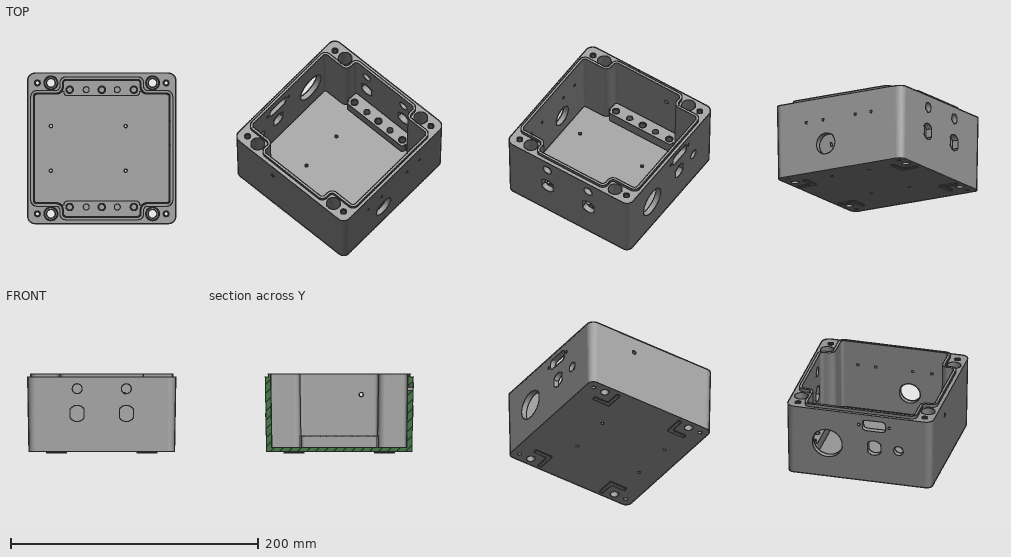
import cadquery as cq
import math

LENGTH_X = 120.0
LENGTH_Y = 122.0
HEIGHT = 64.0
FOOT_HEIGHT = 1.0
LIP_HEIGHT = 2.5
OUTER_DRAFT = 1.0
CAVITY_DRAFT = 0.9
CORNER_RADIUS = 6.2
SHOULDER_Z = HEIGHT - LIP_HEIGHT
FLOOR_Z = 4.5

LIP_HALF_X = 57.5
LIP_HALF_Y = 57.8
NOTCH_X = 33.9
NOTCH_Y = 46.8
LIP_CONVEX_RADIUS = 5.0
LIP_CONCAVE_RADIUS = 3.0
LIP_WIDTH = 2.1

FASTENER_Y = 53.0
LID_SCREW_X = 52.1
LID_SCREW_DIAMETER = 3.3
LID_SCREW_MOUTH_DIAMETER = 4.8
LID_SCREW_MOUTH_DEPTH = 1.0
MOUNT_X = 41.1
MOUNT_DIAMETER = 7.0
MOUNT_WELL_DIAMETER = 11.2
MOUNT_WELL_DEPTH = 36.6

BLOCK_HALF_X = 30.5
BLOCK_INNER_Y = 42.7
BLOCK_ROOT_Y = 46.0
BLOCK_HEIGHT = 9.2
BLOCK_CORNER_RADIUS = 2.5
BLOCK_HOLE_Y = 47.5
PLAIN_HOLE_DIAMETER = 4.9
CHAMFERED_HOLE_DIAMETER = 4.8
BLOCK_HOLE_DEPTH = 8.5
CHAMFER_MOUTH_DIAMETER = 6.0
CHAMFER_ANGLE = 45.0
CHAMFERED_HOLE_PITCH = 26.0
PLAIN_HOLE_X = 12.6

FLOOR_HOLE_DIAMETER = 2.5
FLOOR_HOLE_XS = (-41.1, 19.4)
FLOOR_HOLE_Y = 18.0

ROUND_HOLE_DIAMETER = 8.0
ROUND_HOLE_Z = 52.0
FLATTED_DIAMETER = 13.2
FLATTED_WIDTH = 11.2
OPENING_Z = 32.0
FRONT_OPENING_X = 19.9

LEFT_CABLE_DIAMETER = 17.5
LEFT_CABLE_Y = 12.5
LEFT_CABLE_Z = 23.3
LEFT_PIN_DIAMETER = 2.0
LEFT_PIN_YS = (-31.0, -16.0, 14.9, 30.9)
LEFT_PIN_Z = 43.5

CONNECTOR_Y = 12.5
CONNECTOR_Z = 52.0
CONNECTOR_WIDTH = 19.5
CONNECTOR_HEIGHT = 9.5
CONNECTOR_RADIUS = 3.0
CONNECTOR_PIN_PITCH = 25.4
CONNECTOR_PIN_DIAMETER = 2.2
RIGHT_ROUND_Y = 32.8
RIGHT_CABLE_Y = -26.7
RIGHT_CABLE_Z = 31.4
RIGHT_CABLE_DIAMETER = 25.0

BACK_HOLE_X = 17.8
BACK_HOLE_Z = 47.2
BACK_HOLE_DIAMETER = 3.3

FOOT_OUTER_X = 44.5
FOOT_OUTER_Y = 56.5
FOOT_LENGTH = 15.9
FOOT_WIDTH = 3.0
FOOT_INSIDE_RADIUS = 2.0

WALL_DRILL_DEPTH = 9.8
SIGNS = (-1, 1)


def corner_points(x, y):
    return [(i * x, j * y) for i in SIGNS for j in SIGNS]


def cross_outline(workplane, inset):
    """Closed cross-shaped wire, set back from the outer lip by inset."""
    ax, ay = LIP_HALF_X - inset, LIP_HALF_Y - inset
    nx, ny = NOTCH_X - inset, NOTCH_Y - inset
    convex = LIP_CONVEX_RADIUS - inset
    concave = LIP_CONCAVE_RADIUS + inset
    corners = [
        (ax, -ny, convex), (ax, ny, convex), (nx, ny, concave), (nx, ay, convex),
        (-nx, ay, convex), (-nx, ny, concave), (-ax, ny, convex), (-ax, -ny, convex),
        (-nx, -ny, concave), (-nx, -ay, convex), (nx, -ay, convex), (nx, -ny, concave),
    ]

    def tangent_point(corner, neighbour):
        x, y, radius = corner
        distance = math.dist((x, y), neighbour[:2])
        return (x + (neighbour[0] - x) * radius / distance, y + (neighbour[1] - y) * radius / distance)

    wire = workplane.moveTo(*tangent_point(corners[0], corners[1]))
    for i in range(1, len(corners) + 1):
        corner = corners[i % len(corners)]
        following = corners[(i + 1) % len(corners)]
        wire = wire.lineTo(*tangent_point(corner, corners[i - 1]))
        wire = wire.tangentArcPoint(tangent_point(corner, following), relative=False)
    return wire.close()


def body_shell():
    """Drafted outer block with the raised lip, hollowed by the drafted cavity."""
    outline = cq.Sketch().rect(LENGTH_X, LENGTH_Y).vertices().fillet(CORNER_RADIUS)
    shoulder = cq.Workplane("XY", origin=(0, 0, SHOULDER_Z))
    top = cq.Workplane("XY", origin=(0, 0, HEIGHT))
    block = shoulder.placeSketch(outline).extrude(FOOT_HEIGHT - SHOULDER_Z, taper=OUTER_DRAFT)
    lip = cross_outline(shoulder, 0).extrude(LIP_HEIGHT)
    cavity = cross_outline(top, LIP_WIDTH).extrude(FLOOR_Z - HEIGHT, taper=CAVITY_DRAFT)
    return block.union(lip).cut(cavity)


def terminal_block(side):
    """Block standing on the floor against the +Y (side 1) or -Y (side -1) wall."""
    top_z = FLOOR_Z + BLOCK_HEIGHT

    def bar(half_x, inner_y):
        depth = LIP_HALF_Y - inner_y
        plane = cq.Workplane("XY", origin=(0, side * (inner_y + depth / 2), FOOT_HEIGHT))
        return plane.rect(2 * half_x, depth).extrude(top_z - FOOT_HEIGHT)

    nose = bar(BLOCK_HALF_X, BLOCK_INNER_Y).edges("|Z").fillet(BLOCK_CORNER_RADIUS)
    block = nose.union(bar(NOTCH_X - LIP_WIDTH, BLOCK_ROOT_Y))
    face = cq.Workplane("XY", origin=(0, side * BLOCK_HOLE_Y, top_z))
    chamfered = [(i * CHAMFERED_HOLE_PITCH, 0) for i in (-1, 0, 1)]
    plain = [(i * PLAIN_HOLE_X, 0) for i in SIGNS]
    plain_holes = face.pushPoints(plain).circle(PLAIN_HOLE_DIAMETER / 2).extrude(-BLOCK_HOLE_DEPTH)
    chamfered_holes = (
        face.pushPoints(chamfered).circle(CHAMFERED_HOLE_DIAMETER / 2).extrude(-BLOCK_HOLE_DEPTH)
    )
    mouth_width = (CHAMFER_MOUTH_DIAMETER - CHAMFERED_HOLE_DIAMETER) / 2
    mouth_depth = mouth_width / math.tan(math.radians(CHAMFER_ANGLE))
    mouths = (
        face.pushPoints(chamfered)
        .circle(CHAMFER_MOUTH_DIAMETER / 2)
        .extrude(-mouth_depth, taper=CHAMFER_ANGLE)
    )
    return block.cut(plain_holes).cut(chamfered_holes).cut(mouths)


def feet():
    """Four L-shaped pads, each open toward its outer corner of the box."""
    inner_x, inner_y = FOOT_OUTER_X - FOOT_LENGTH, FOOT_OUTER_Y - FOOT_LENGTH
    pad = (
        cq.Workplane("XY")
        .polyline([
            (inner_x, inner_y),
            (FOOT_OUTER_X, inner_y),
            (FOOT_OUTER_X, inner_y + FOOT_WIDTH),
            (inner_x + FOOT_WIDTH, inner_y + FOOT_WIDTH),
            (inner_x + FOOT_WIDTH, FOOT_OUTER_Y),
            (inner_x, FOOT_OUTER_Y),
        ])
        .close()
        .extrude(FLOOR_Z)
    )
    inside_corner = cq.selectors.NearestToPointSelector(
        (inner_x + FOOT_WIDTH, inner_y + FOOT_WIDTH, FLOOR_Z / 2)
    )
    pad = pad.edges(inside_corner).fillet(FOOT_INSIDE_RADIUS)
    pair = pad.union(pad.mirror("YZ"))
    return pair.union(pair.mirror("XZ"))


def corner_fastener_holes():
    """Lid screw holes and drafted mounting wells in the four corners."""
    shoulder = cq.Workplane("XY", origin=(0, 0, SHOULDER_Z))
    screws = shoulder.pushPoints(corner_points(LID_SCREW_X, FASTENER_Y))
    mounts = shoulder.pushPoints(corner_points(MOUNT_X, FASTENER_Y))
    return (
        screws.circle(LID_SCREW_DIAMETER / 2).extrude(-SHOULDER_Z)
        .union(screws.circle(LID_SCREW_MOUTH_DIAMETER / 2).extrude(-LID_SCREW_MOUTH_DEPTH))
        .union(mounts.circle(MOUNT_DIAMETER / 2).extrude(-SHOULDER_Z))
        .union(mounts.circle(MOUNT_WELL_DIAMETER / 2).extrude(-MOUNT_WELL_DEPTH, taper=OUTER_DRAFT))
    )


def floor_holes():
    points = [(x, j * FLOOR_HOLE_Y) for x in FLOOR_HOLE_XS for j in SIGNS]
    return cq.Workplane("XY").pushPoints(points).circle(FLOOR_HOLE_DIAMETER / 2).extrude(FLOOR_Z)


def round_holes(wall, points, diameter):
    return wall.pushPoints(points).circle(diameter / 2).extrude(-WALL_DRILL_DEPTH)


def flatted_holes(wall, points):
    discs = round_holes(wall, points, FLATTED_DIAMETER)
    bands = wall.pushPoints(points).rect(FLATTED_WIDTH, FLATTED_DIAMETER).extrude(-WALL_DRILL_DEPTH)
    return discs.intersect(bands)


def front_wall_openings():
    """Openings in the -Y wall; local x runs along +X, local y along +Z."""
    wall = cq.Workplane("XZ", origin=(0, -LENGTH_Y / 2, 0))
    round_points = [(i * FRONT_OPENING_X, ROUND_HOLE_Z) for i in SIGNS]
    flatted_points = [(i * FRONT_OPENING_X, OPENING_Z) for i in SIGNS]
    return round_holes(wall, round_points, ROUND_HOLE_DIAMETER).union(flatted_holes(wall, flatted_points))


def left_wall_openings():
    """Openings in the -X wall; local x runs along +Y, local y along +Z."""
    wall = cq.Workplane("YZ", origin=(-LENGTH_X / 2 + WALL_DRILL_DEPTH, 0, 0))
    pins = [(y, LEFT_PIN_Z) for y in LEFT_PIN_YS]
    cable = round_holes(wall, [(LEFT_CABLE_Y, LEFT_CABLE_Z)], LEFT_CABLE_DIAMETER)
    return cable.union(round_holes(wall, pins, LEFT_PIN_DIAMETER))


def right_wall_openings():
    """Openings in the +X wall; local x runs along +Y, local y along +Z."""
    wall = cq.Workplane("YZ", origin=(LENGTH_X / 2, 0, 0))
    connector_shape = (
        cq.Sketch().rect(CONNECTOR_WIDTH, CONNECTOR_HEIGHT).vertices().fillet(CONNECTOR_RADIUS)
    )
    connector = wall.center(CONNECTOR_Y, CONNECTOR_Z).placeSketch(connector_shape).extrude(-WALL_DRILL_DEPTH)
    pins = [(CONNECTOR_Y + i * CONNECTOR_PIN_PITCH / 2, CONNECTOR_Z) for i in SIGNS]
    return (
        connector
        .union(round_holes(wall, pins, CONNECTOR_PIN_DIAMETER))
        .union(round_holes(wall, [(RIGHT_ROUND_Y, OPENING_Z)], ROUND_HOLE_DIAMETER))
        .union(flatted_holes(wall, [(CONNECTOR_Y, OPENING_Z)]))
        .union(round_holes(wall, [(RIGHT_CABLE_Y, RIGHT_CABLE_Z)], RIGHT_CABLE_DIAMETER))
    )


def back_wall_hole():
    """Single small hole in the +Y wall."""
    wall = cq.Workplane("XZ", origin=(0, LENGTH_Y / 2 - WALL_DRILL_DEPTH, 0))
    return round_holes(wall, [(BACK_HOLE_X, BACK_HOLE_Z)], BACK_HOLE_DIAMETER)


box = body_shell().union(feet())
for side in SIGNS:
    box = box.union(terminal_block(side))
for holes in (
    corner_fastener_holes(),
    floor_holes(),
    front_wall_openings(),
    left_wall_openings(),
    right_wall_openings(),
    back_wall_hole(),
):
    box = box.cut(holes)

result = box